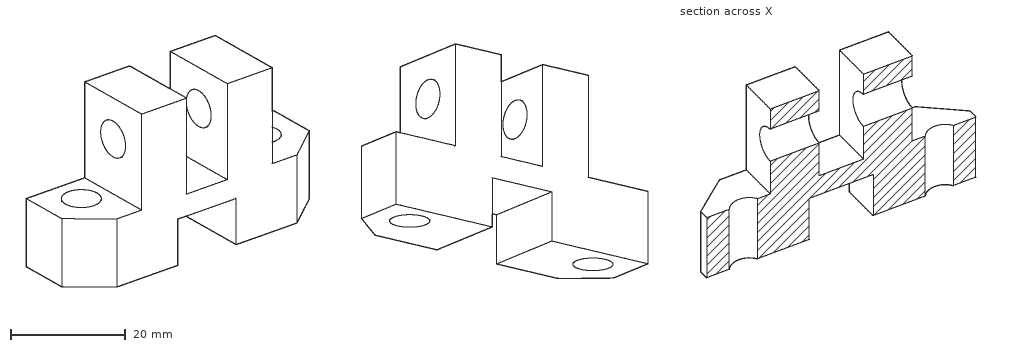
import cadquery as cq

width = 16.0
length = 55.0
height = 32.0

base_height = 13.3
lug_thickness = 10.0
lug_gap = 9.0
lug_offset = (lug_gap + lug_thickness) / 2

channel_width = 13.0
channel_height = 9.0

corner_cut_x = 6.0
corner_cut_y = 7.5

hole_diameter = 7.0
mount_hole_spacing = 40.0
mount_hole_from_side = 6.0
lug_hole_from_top = width / 2


def make_base():
    """Base plate with two cut corners and a channel underneath, centred on X and Y."""
    half_width = width / 2
    half_length = length / 2
    outline = [
        (-half_width, -half_length),
        (half_width - corner_cut_x, -half_length),
        (half_width, -half_length + corner_cut_y),
        (half_width, half_length - corner_cut_y),
        (half_width - corner_cut_x, half_length),
        (-half_width, half_length),
    ]
    plate = cq.Workplane("XY").polyline(outline).close().extrude(base_height)
    channel = cq.Workplane("XY").rect(width, channel_width).extrude(channel_height)
    return plate.cut(channel)


def make_lugs():
    """Two upright lugs, standing from the top of the base to full height."""
    return (
        cq.Workplane("XY", origin=(0, 0, base_height))
        .pushPoints([(0, -lug_offset), (0, lug_offset)])
        .rect(width, lug_thickness)
        .extrude(height - base_height)
    )


def make_mount_holes():
    """Vertical holes through both ends of the base."""
    hole_x = mount_hole_from_side - width / 2
    hole_y = mount_hole_spacing / 2
    return (
        cq.Workplane("XY")
        .pushPoints([(hole_x, -hole_y), (hole_x, hole_y)])
        .circle(hole_diameter / 2)
        .extrude(base_height)
    )


def make_lug_hole():
    """Pin hole along Y through both lugs."""
    return (
        cq.Workplane("XZ")
        .center(0, height - lug_hole_from_top)
        .circle(hole_diameter / 2)
        .extrude(length / 2, both=True)
    )


result = make_base().union(make_lugs()).cut(make_mount_holes()).cut(make_lug_hole())